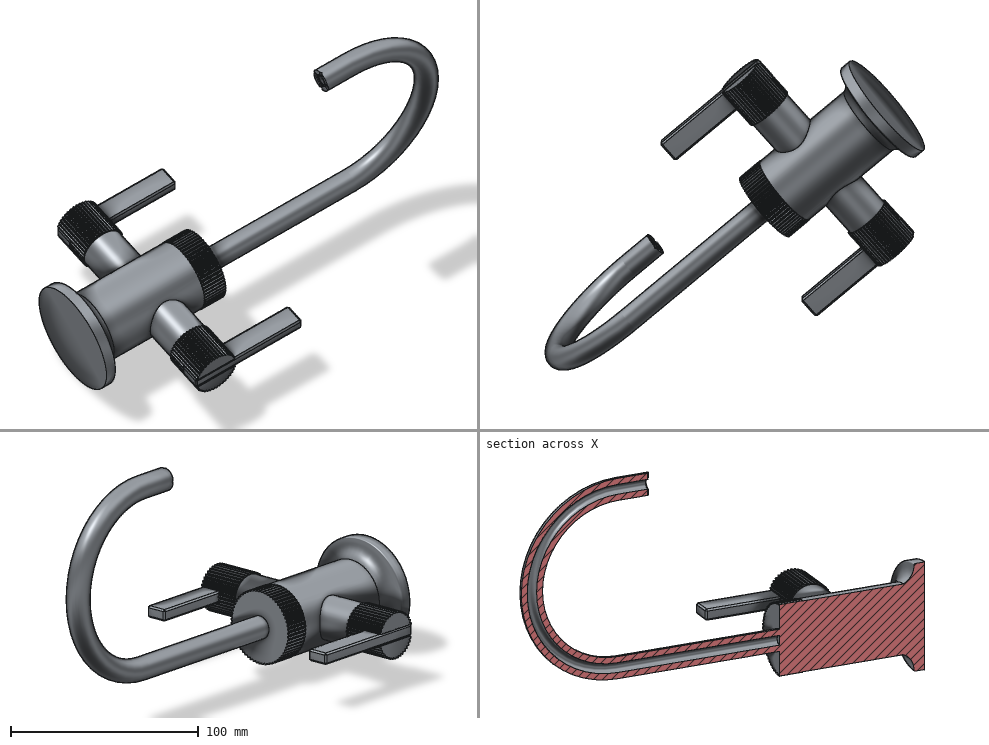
import cadquery as cq
import math

body_radius = 20.3
body_length = 72.0
base_radius = 30.8
base_rim_height = 5.3
base_edge_round = 1.2
flare_height = 12.7

collar_length = 13.8
collar_end = body_length + collar_length
collar_radius = 20.5
collar_teeth = 60

overall_width = 127.0
arm_height = 48.5
arm_radius = 12.2
hub_radius = 13.1
hub_length = 23.6
hub_teeth = 40
lever_end = 104.8
lever_width = 12.5
lever_thickness = 6.5
lever_chamfer = 1.0

knurl_depth = 0.7

overall_length = 238.8
overall_height = 138.7
spout_radius = 6.5
bore_radius = 2.6
bore_rim_radius = 3.5
outlet_length = 18.6
outlet_groove_width = 2.1
outlet_groove_depth = 0.7
bore_rim_depth = 0.7
outlet_height = overall_height - base_radius - spout_radius
bend_radius = outlet_height / 2
bend_start = overall_length - spout_radius - bend_radius
outlet_end = bend_start - outlet_length


def make_body():
    """Revolved body with a rounded base rim and a concave flare above it."""
    rim_top = base_rim_height + base_edge_round
    flat_radius = base_radius - base_edge_round
    flare_run = flat_radius - body_radius
    flare_rise = flare_height - rim_top
    flare_radius = (flare_run**2 + flare_rise**2) / (2 * flare_rise)
    mid_angle = math.atan2(flare_run, flare_radius - flare_rise) / 2
    flare_mid = (
        flat_radius - flare_radius * math.sin(mid_angle),
        rim_top + flare_radius * (1 - math.cos(mid_angle)),
    )
    profile = (
        cq.Workplane("XY")
        .lineTo(base_radius, 0)
        .lineTo(base_radius, base_rim_height)
        .radiusArc((flat_radius, rim_top), -base_edge_round)
        .threePointArc(flare_mid, (body_radius, flare_height))
        .lineTo(body_radius, body_length)
        .lineTo(0, body_length)
        .close()
    )
    return profile.revolve(360, (0, 0), (0, 1))


def knurl_outline(plane, radius, teeth):
    """Closed outline of straight flat-topped teeth around a circle."""
    points = []
    corner_radii = (radius, radius, radius - knurl_depth, radius - knurl_depth)
    corner_count = len(corner_radii) * teeth
    for i in range(corner_count):
        corner_radius = corner_radii[i % len(corner_radii)]
        angle = 2 * math.pi * i / corner_count
        points.append((corner_radius * math.cos(angle), corner_radius * math.sin(angle)))
    return plane.polyline(points).close()


def make_collar():
    plane = cq.Workplane("XZ", origin=(0, body_length, 0))
    return knurl_outline(plane, collar_radius, collar_teeth).extrude(-collar_length)


def make_handle():
    """Arm, knurled hub and inset lever on the +X side."""
    outer_face = overall_width / 2
    hub_start = outer_face - hub_length
    arm = cq.Workplane("YZ").center(arm_height, 0).circle(arm_radius).extrude(hub_start)
    hub_plane = cq.Workplane("YZ", origin=(hub_start, arm_height, 0))
    hub = knurl_outline(hub_plane, hub_radius, hub_teeth).extrude(hub_length)
    lever_start = arm_height - hub_radius
    lever_blank = (
        cq.Workplane("XY")
        .box(lever_width, lever_end - lever_start, lever_thickness)
        .translate((outer_face - lever_width / 2, (lever_start + lever_end) / 2, 0))
    )
    lever = lever_blank.edges().chamfer(lever_chamfer)
    return arm.union(hub).cut(lever_blank).union(lever)


def spout_sweep(radius):
    """Round bar along the spout centreline, from the collar to the outlet."""
    path = (
        cq.Workplane("YZ")
        .moveTo(collar_end, 0)
        .lineTo(bend_start, 0)
        .threePointArc(
            (bend_start + bend_radius, bend_radius),
            (bend_start, outlet_height),
        )
        .lineTo(outlet_end, outlet_height)
    )
    return cq.Workplane("XZ", origin=(0, collar_end, 0)).circle(radius).sweep(path)


def make_spout():
    """Hollow gooseneck with a shallow counterbore and crossed V grooves in the outlet face."""
    spout = spout_sweep(spout_radius).cut(spout_sweep(bore_radius))
    outlet_plane = cq.Workplane("XZ", origin=(0, outlet_end, outlet_height))
    spout = spout.cut(outlet_plane.circle(bore_rim_radius).extrude(-bore_rim_depth))
    groove = (
        cq.Workplane("YZ", origin=(-spout_radius, 0, 0))
        .polyline([
            (0, outlet_groove_width / 2),
            (outlet_groove_depth, 0),
            (0, -outlet_groove_width / 2),
        ])
        .close()
        .extrude(2 * spout_radius)
    )
    for angle in (0, 90):
        turned_groove = groove.rotate((0, 0, 0), (0, 1, 0), angle)
        spout = spout.cut(turned_groove.translate((0, outlet_end, outlet_height)))
    return spout


handle = make_handle()
result = (
    make_body()
    .union(make_collar())
    .union(handle)
    .union(handle.mirror("YZ"))
    .union(make_spout())
)